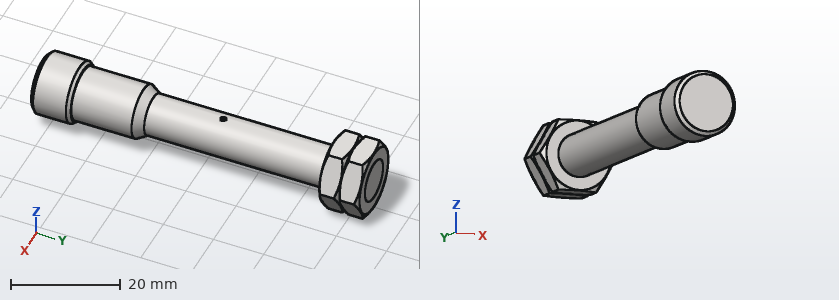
import cadquery as cq
import math

LENGTH = 66.0
FRONT_Y = -LENGTH / 2
BACK_Y = LENGTH / 2

SHANK_RADIUS = 4.0
BODY_RADIUS = 5.2
HEAD_RADIUS = 6.0
HEAD_CHAMFER = 0.7
HEAD_LENGTH = 7.25
HEAD_TAPER_END = 8.0
HEAD_TAPER_RADIUS = 5.5
BODY_END = 20.0
SHANK_START = 22.0

DIMPLE_RADIUS = 0.5
DIMPLE_FROM_FRONT = 36.0

NUT_COUNT = 2
NUT_THICKNESS = 4.0
NUT_ACROSS_FLATS = 13.0
NUT_ACROSS_CORNERS = NUT_ACROSS_FLATS / math.cos(math.radians(30))
NUT_FACE_RADIUS = 6.4
NUT_CHAMFER_ANGLE = 30.0


def revolve_about_y(profile):
    """Solid of revolution from (radius, y) points, including points on the axis."""
    return cq.Workplane("XY").polyline(profile).close().revolve(360, (0, 0, 0), (0, 1, 0))


def add_domed_dimple(spindle):
    """Sink a round hole into the top of the shank and leave a hemispherical dome on its floor."""
    arc_offset = DIMPLE_RADIUS * math.sqrt(0.5)
    space_above_dome = (
        cq.Workplane("XZ", origin=(0, FRONT_Y + DIMPLE_FROM_FRONT, SHANK_RADIUS - DIMPLE_RADIUS))
        .moveTo(DIMPLE_RADIUS, 0)
        .threePointArc((arc_offset, arc_offset), (0, DIMPLE_RADIUS))
        .lineTo(0, 2 * DIMPLE_RADIUS)
        .lineTo(DIMPLE_RADIUS, 2 * DIMPLE_RADIUS)
        .close()
        .revolve(360, (0, 0, 0), (0, 1, 0))
    )
    return spindle.cut(space_above_dome)


def make_spindle():
    spindle = revolve_about_y([
        (0, FRONT_Y),
        (HEAD_RADIUS - HEAD_CHAMFER, FRONT_Y),
        (HEAD_RADIUS, FRONT_Y + HEAD_CHAMFER),
        (HEAD_RADIUS, FRONT_Y + HEAD_LENGTH),
        (HEAD_TAPER_RADIUS, FRONT_Y + HEAD_TAPER_END),
        (BODY_RADIUS, FRONT_Y + HEAD_TAPER_END),
        (BODY_RADIUS, FRONT_Y + BODY_END),
        (SHANK_RADIUS, FRONT_Y + SHANK_START),
        (SHANK_RADIUS, BACK_Y),
        (0, BACK_Y),
    ])
    return add_domed_dimple(spindle)


def make_nut(front_y):
    """Hexagon nut with corners on the X axis, chamfered on both faces, bored for the shank."""
    back_y = front_y + NUT_THICKNESS
    hexagon = (
        cq.Workplane("XZ", origin=(0, front_y, 0))
        .polygon(6, NUT_ACROSS_CORNERS)
        .extrude(-NUT_THICKNESS)
    )
    corner_radius = NUT_ACROSS_CORNERS / 2
    chamfer_depth = (corner_radius - NUT_FACE_RADIUS) * math.tan(math.radians(NUT_CHAMFER_ANGLE))
    chamfer_envelope = revolve_about_y([
        (0, front_y),
        (NUT_FACE_RADIUS, front_y),
        (corner_radius, front_y + chamfer_depth),
        (corner_radius, back_y - chamfer_depth),
        (NUT_FACE_RADIUS, back_y),
        (0, back_y),
    ])
    bore = (
        cq.Workplane("XZ", origin=(0, front_y, 0))
        .circle(SHANK_RADIUS)
        .extrude(-NUT_THICKNESS)
    )
    return hexagon.intersect(chamfer_envelope).cut(bore)


spindle = make_spindle()
nuts = [make_nut(BACK_Y - (index + 1) * NUT_THICKNESS) for index in range(NUT_COUNT)]

result = cq.Compound.makeCompound([spindle.val(), *[nut.val() for nut in nuts]])